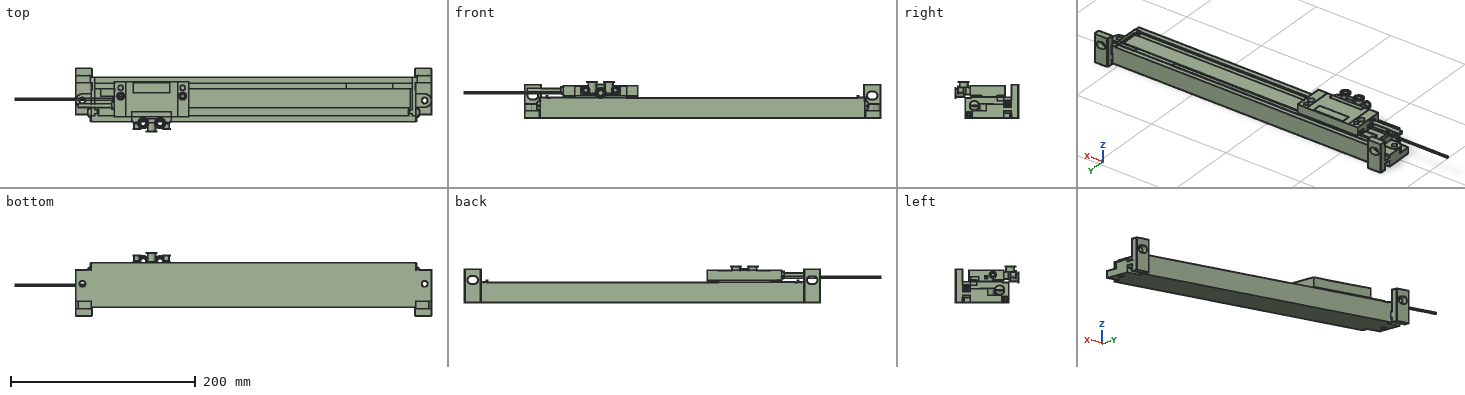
import cadquery as cq

RAIL_LENGTH = 385.0
CABLE_REACH = 65.0
RAIL_WIDTH = 48.4
RAIL_HEIGHT = 21.8
OVERALL_DEPTH = 68.65
MID_X = RAIL_LENGTH / 2

BRACKET_LENGTH = 18.0
BRACKET_FRONT_Y = 7.9
BRACKET_BACK_Y = 58.0
UPRIGHT_THICKNESS = 8.0
UPRIGHT_HEIGHT = 36.1
UPRIGHT_EDGE = 1.0
LEDGE_HEIGHT = 7.9
SHELF_HEIGHT = 12.0
BLOCK_HEIGHT = 14.8
BLOCK_BACK_Y = 42.0
PAD_HEIGHT = 0.5
HOLE_X = 7.4
HOLE_Y = 23.0
HOLE_DIAMETER = 6.2
BOSS_RADIUS = 7.2
SLOT_X = 9.0
SLOT_Z = 24.4
SLOT_LENGTH = 11.2
SLOT_HEIGHT = 8.4
NOTCH_RISE = 5.0
NOTCH_BEVEL = 2.9

CAP_START_X = 17.2
CAP_THICKNESS = 3.8
CAP_HEIGHT = 22.6
CAP_INNER_X = CAP_START_X + CAP_THICKNESS
CAP_RECESS_Y = (34.8, 42.0)
CAP_RECESS_BOTTOM = 18.9
CAP_RECESS_DEPTH = 0.6
PLUG_RADIUS = 5.2
PLUG_Y = 10.0
PLUG_Z = 13.4
PLUG_REACH = 4.2
PLUG_ROUND = 3.8
PLUG_SLOT = 0.8
SCREW_RADIUS = 3.2
SCREW_SOCKET_RADIUS = 1.6
SCREW_Y = 4.0
SCREW_Z = 3.8
SCREW_REACH = 1.2
RIBBED_REACH = 1.5
RIB_PITCH = 1.2
RIB_GAP = 0.6
RIB_COUNT = 6
NUB_X = 23.7
NUB_LENGTH = 1.4
NUB_HEIGHT = 24.0
NUB_Y = 8.5
NUB_WIDTH = 4.5

FRONT_GROOVE_Y = (6.6, 15.0)
FRONT_GROOVE_DEPTH = 2.0
FRONT_GROOVE_START = 24.7
BACK_GROOVE_Y = (36.0, 41.8)
BACK_GROOVE_DEPTH = 1.0
STRIP_THICKNESS = 0.15
STRIP_TOP = RAIL_HEIGHT + STRIP_THICKNESS
STRIP_END_GAP = 23.0
STRIP_END = RAIL_LENGTH - STRIP_END_GAP
BAR_X = (27.4, 54.0)
BAR_Y = (27.5, 36.0)
BAR_TOP = 22.6
INSERT_X = (293.0, 343.0)
INSERT_DROP = 0.4

CARRIAGE_LENGTH = 80.6
CARRIAGE_START = 42.0
CARRIAGE_MID_X = CARRIAGE_START + CARRIAGE_LENGTH / 2
CARRIAGE_FRONT_Y = 5.4
CARRIAGE_BACK_Y = 43.3
CARRIAGE_BOTTOM = 24.4
CARRIAGE_TOP = 35.1
END_CAP_LENGTH = 12.2
CENTRE_STEP = 0.15
FOOT_Y = (17.0, 35.5)
WIPER_Y = (18.0, 34.0)
WIPER_GAP = 0.3
CLAMP_POCKET_Y = (32.5, 41.5)
CLAMP_POCKET_HEIGHT = 3.4
CLAMP_POCKET_DEPTH = 4.0
LABEL_LENGTH = 39.3
LABEL_Y = (31.2, 42.0)
LABEL_DEPTH = 0.3
BOLT_OFFSET = 33.5
BOLT_Y = 27.8
BOLT_HEAD_DIAMETER = 8.0
BOLT_HEAD_DEPTH = 5.0
BOLT_DIAMETER = 4.5
THREAD_Y = 36.8
THREAD_DIAMETER = 5.5
THREAD_DEPTH = 6.0

MODULE_LENGTH = 42.6
MODULE_FRONT_Y = -1.2
MODULE_BACK_Y = 11.0
MODULE_BOTTOM = 25.5
MODULE_TOP = 33.2
MODULE_BEVEL = 2.0
MODULE_COVER_DROP = 0.3
KNOB_LENGTH = 8.5
KNOB_TOP = 36.6
KNOB_Y = (-1.2, 3.5)

FITTING_TOP = 39.3
FITTING_FRONT_Y = BRACKET_BACK_Y - OVERALL_DEPTH
TUBE_OFFSET = 9.1
TUBE_Y = -1.5
TUBE_BOTTOM = 27.0
TUBE_RADIUS = 4.4
TUBE_RIM_RADIUS = 5.7
TUBE_BORE_RADIUS = 3.0
RIM_THICKNESS = 0.6
CENTRE_PORT_Z = 27.2
SIDE_PORT_OFFSET = 16.0
SIDE_PORT_Z = 30.2
SIDE_PORT_FRONT_Y = -8.0
SIDE_PORT_RADIUS = 3.2
SIDE_PORT_RIM_RADIUS = 4.1
SIDE_PORT_BORE_RADIUS = 2.4
BORE_DEPTH = 6.0

CABLE_DIAMETER = 2.0
CABLE_Y = 24.4
CABLE_Z = 27.3
CABLE_NECK_LENGTH = 1.5
CABLE_NECK_SIZE = 3.0
SLEEVE_DIAMETER = 4.0
SLEEVE_START = 2.8
SLEEVE_Y = 17.4
SLEEVE_Z = 30.1
GLAND_RADIUS = 3.6
GLAND_LENGTH = 2.6


def block(x_range, y_range, z_range):
    """Box between pairs of X, Y and Z limits."""
    size = [high - low for low, high in (x_range, y_range, z_range)]
    corner = (x_range[0], y_range[0], z_range[0])
    return cq.Workplane("XY").box(*size, centered=False).translate(corner)


def rod(start, direction, length, radius):
    """Cylinder from a start point along a direction."""
    solid = cq.Solid.makeCylinder(radius, length, cq.Vector(*start), cq.Vector(*direction))
    return cq.Workplane(obj=solid)


def hose_fitting(end, inward, length, radius, rim_radius):
    """Round stub with a wider rim at its open end."""
    stub = rod(end, inward, length, radius)
    rim = rod(end, inward, RIM_THICKNESS, rim_radius)
    return stub.union(rim)


def mounting_bracket():
    inner = BRACKET_LENGTH
    upright_y = BRACKET_BACK_Y - UPRIGHT_THICKNESS
    upright = block((0, inner), (upright_y, BRACKET_BACK_Y), (0, UPRIGHT_HEIGHT))
    upright = upright.edges(">Y and |Z").chamfer(UPRIGHT_EDGE)
    slot = (
        cq.Workplane("XZ", origin=(SLOT_X, BRACKET_BACK_Y, SLOT_Z))
        .slot2D(SLOT_LENGTH, SLOT_HEIGHT)
        .extrude(UPRIGHT_THICKNESS)
    )

    ledge = block((0, inner), (BRACKET_FRONT_Y, BLOCK_BACK_Y), (0, LEDGE_HEIGHT))
    shelf = block((0, inner), (BLOCK_BACK_Y, upright_y), (0, SHELF_HEIGHT))
    high_block = block((0, inner), (HOLE_Y, BLOCK_BACK_Y), (0, BLOCK_HEIGHT))

    pad_top = BLOCK_HEIGHT + PAD_HEIGHT
    boss = rod((HOLE_X, HOLE_Y, 0), (0, 0, 1), pad_top, BOSS_RADIUS)
    boss_y = (HOLE_Y - BOSS_RADIUS, HOLE_Y + BOSS_RADIUS)
    boss = boss.union(block((HOLE_X, inner), boss_y, (0, pad_top)))
    hole = rod((HOLE_X, HOLE_Y, 0), (0, 0, 1), pad_top, HOLE_DIAMETER / 2)

    notch = (
        cq.Workplane("XZ", origin=(0, upright_y, 0))
        .moveTo(0, 0)
        .lineTo(0, NOTCH_RISE + NOTCH_BEVEL)
        .lineTo(NOTCH_BEVEL, NOTCH_RISE)
        .lineTo(inner, NOTCH_RISE)
        .lineTo(inner, 0)
        .close()
        .extrude(upright_y - BLOCK_BACK_Y)
    )
    bracket = ledge.union(shelf).union(high_block).union(boss).union(upright)
    return bracket.cut(slot).cut(hole).cut(notch)


def end_cap():
    cap = block((CAP_START_X, CAP_INNER_X), (0, RAIL_WIDTH), (0, CAP_HEIGHT))
    lip_drop = block((CAP_START_X, CAP_INNER_X), (0, FRONT_GROOVE_Y[0]), (RAIL_HEIGHT, CAP_HEIGHT))
    cap = cap.cut(lip_drop)
    recess_x = (CAP_START_X, CAP_START_X + CAP_RECESS_DEPTH)
    cap = cap.cut(block(recess_x, CAP_RECESS_Y, (CAP_RECESS_BOTTOM, CAP_HEIGHT)))

    plug = rod((CAP_START_X - PLUG_REACH, PLUG_Y, PLUG_Z), (1, 0, 0), PLUG_REACH, PLUG_RADIUS)
    plug = plug.faces("<X").edges().fillet(PLUG_ROUND)
    slot_x = (CAP_START_X - PLUG_REACH, CAP_START_X - PLUG_REACH / 2)
    slot_y = (PLUG_Y - PLUG_RADIUS, PLUG_Y + PLUG_RADIUS)
    slot_z = (PLUG_Z - PLUG_SLOT / 2, PLUG_Z + PLUG_SLOT / 2)
    plug = plug.cut(block(slot_x, slot_y, slot_z))

    screw_x = CAP_START_X - SCREW_REACH
    screw = rod((screw_x, SCREW_Y, SCREW_Z), (1, 0, 0), SCREW_REACH, SCREW_RADIUS)
    socket = rod((screw_x, SCREW_Y, SCREW_Z), (1, 0, 0), SCREW_REACH, SCREW_SOCKET_RADIUS)
    screw = screw.cut(socket)

    stop_x = (CAP_START_X - RIBBED_REACH, CAP_START_X)
    stop_y = (BLOCK_BACK_Y, BRACKET_BACK_Y - UPRIGHT_THICKNESS)
    stop = block(stop_x, stop_y, (SHELF_HEIGHT, CAP_HEIGHT))
    for rib in range(RIB_COUNT):
        gap_z = SHELF_HEIGHT + RIB_GAP + rib * RIB_PITCH
        gap_x = (stop_x[0], CAP_START_X - RIBBED_REACH / 2)
        stop = stop.cut(block(gap_x, stop_y, (gap_z, gap_z + RIB_GAP)))

    nub_base = CAP_HEIGHT - FRONT_GROOVE_DEPTH
    nub_foot = block((CAP_START_X, NUB_X + NUB_LENGTH), (NUB_Y, NUB_Y + NUB_WIDTH), (nub_base, CAP_HEIGHT))
    lug = block((NUB_X, NUB_X + NUB_LENGTH), (NUB_Y, NUB_Y + NUB_WIDTH), (nub_base, NUB_HEIGHT))
    return cap.union(plug).union(screw).union(stop).union(nub_foot).union(lug)


def rail_profile():
    rail_x = (CAP_INNER_X, RAIL_LENGTH - CAP_INNER_X)
    rail = block(rail_x, (0, RAIL_WIDTH), (0, RAIL_HEIGHT))

    groove_x = (FRONT_GROOVE_START, RAIL_LENGTH - FRONT_GROOVE_START)
    rail = rail.cut(block(groove_x, FRONT_GROOVE_Y, (RAIL_HEIGHT - FRONT_GROOVE_DEPTH, RAIL_HEIGHT)))
    rail = rail.cut(block(rail_x, BACK_GROOVE_Y, (RAIL_HEIGHT - BACK_GROOVE_DEPTH, RAIL_HEIGHT)))

    insert_z = (RAIL_HEIGHT - BACK_GROOVE_DEPTH, RAIL_HEIGHT - INSERT_DROP)
    rail = rail.union(block(INSERT_X, BACK_GROOVE_Y, insert_z))

    strip_x = (CAP_INNER_X, STRIP_END)
    strip_y = (FRONT_GROOVE_Y[1], BACK_GROOVE_Y[0])
    rail = rail.union(block(strip_x, strip_y, (RAIL_HEIGHT, STRIP_TOP)))
    return rail.union(block(BAR_X, BAR_Y, (RAIL_HEIGHT, BAR_TOP)))


def build_rail():
    left_end = mounting_bracket().union(end_cap())
    right_end = left_end.mirror("YZ", (MID_X, 0, 0))
    return rail_profile().union(left_end).union(right_end)


def carriage_block():
    carriage_x = (CARRIAGE_START, CARRIAGE_START + CARRIAGE_LENGTH)
    centre_x = (carriage_x[0] + END_CAP_LENGTH, carriage_x[1] - END_CAP_LENGTH)
    depth_y = (CARRIAGE_FRONT_Y, CARRIAGE_BACK_Y)
    body = block(carriage_x, depth_y, (CARRIAGE_BOTTOM, CARRIAGE_TOP))

    full_z = (CARRIAGE_BOTTOM, CARRIAGE_TOP)
    body = body.cut(block(centre_x, depth_y, (CARRIAGE_TOP - CENTRE_STEP, CARRIAGE_TOP)))
    body = body.cut(block(centre_x, (CARRIAGE_FRONT_Y, CARRIAGE_FRONT_Y + CENTRE_STEP), full_z))

    label_x = (CARRIAGE_MID_X - LABEL_LENGTH / 2, CARRIAGE_MID_X + LABEL_LENGTH / 2)
    body = body.cut(block(label_x, LABEL_Y, (CARRIAGE_TOP - LABEL_DEPTH, CARRIAGE_TOP)))

    pocket_x = (CARRIAGE_START, CARRIAGE_START + CLAMP_POCKET_DEPTH)
    pocket_z = (CARRIAGE_BOTTOM, CARRIAGE_BOTTOM + CLAMP_POCKET_HEIGHT)
    body = body.cut(block(pocket_x, CLAMP_POCKET_Y, pocket_z))

    foot = block(centre_x, FOOT_Y, (STRIP_TOP, CARRIAGE_BOTTOM))
    wipers = block(carriage_x, WIPER_Y, (BAR_TOP + WIPER_GAP, CARRIAGE_BOTTOM))
    return body.union(foot).union(wipers)


def cut_bolt_holes(body):
    down = (0, 0, -1)
    through = CARRIAGE_TOP - STRIP_TOP
    for side in (-1, 1):
        x = CARRIAGE_MID_X + side * BOLT_OFFSET
        body = body.cut(rod((x, BOLT_Y, CARRIAGE_TOP), down, through, BOLT_DIAMETER / 2))
        body = body.cut(rod((x, BOLT_Y, CARRIAGE_TOP), down, BOLT_HEAD_DEPTH, BOLT_HEAD_DIAMETER / 2))
        body = body.cut(rod((x, THREAD_Y, CARRIAGE_TOP), down, THREAD_DEPTH, THREAD_DIAMETER / 2))
    return body


def add_connector_module(body):
    module_x = (CARRIAGE_MID_X - MODULE_LENGTH / 2, CARRIAGE_MID_X + MODULE_LENGTH / 2)
    cover_z = CARRIAGE_TOP - MODULE_COVER_DROP
    body = body.cut(block(module_x, (CARRIAGE_FRONT_Y, MODULE_BACK_Y), (cover_z, CARRIAGE_TOP)))

    module = block(module_x, (MODULE_FRONT_Y, MODULE_BACK_Y), (MODULE_BOTTOM, MODULE_TOP))
    module = module.edges("<Y and |Z").chamfer(MODULE_BEVEL)
    knob_x = (CARRIAGE_MID_X - KNOB_LENGTH / 2, CARRIAGE_MID_X + KNOB_LENGTH / 2)
    knob = block(knob_x, KNOB_Y, (MODULE_BOTTOM, KNOB_TOP))
    return body.union(module).union(knob)


def add_fittings(body):
    back = (0, 1, 0)
    down = (0, 0, -1)

    centre_end = (CARRIAGE_MID_X, FITTING_FRONT_Y, CENTRE_PORT_Z)
    centre_length = MODULE_FRONT_Y - FITTING_FRONT_Y + RIM_THICKNESS
    body = body.union(hose_fitting(centre_end, back, centre_length, TUBE_RADIUS, TUBE_RIM_RADIUS))

    for side in (-1, 1):
        tube_end = (CARRIAGE_MID_X + side * TUBE_OFFSET, TUBE_Y, FITTING_TOP)
        tube_length = FITTING_TOP - TUBE_BOTTOM
        body = body.union(hose_fitting(tube_end, down, tube_length, TUBE_RADIUS, TUBE_RIM_RADIUS))
        body = body.cut(rod(tube_end, down, FITTING_TOP - STRIP_TOP, TUBE_BORE_RADIUS))

        port_end = (CARRIAGE_MID_X + side * SIDE_PORT_OFFSET, SIDE_PORT_FRONT_Y, SIDE_PORT_Z)
        port_length = MODULE_FRONT_Y - SIDE_PORT_FRONT_Y + RIM_THICKNESS
        body = body.union(hose_fitting(port_end, back, port_length, SIDE_PORT_RADIUS, SIDE_PORT_RIM_RADIUS))
        body = body.cut(rod(port_end, back, BORE_DEPTH, SIDE_PORT_BORE_RADIUS))

    return body.cut(rod(centre_end, back, BORE_DEPTH, TUBE_BORE_RADIUS))


def add_cable(body):
    cable_start = (-CABLE_REACH, CABLE_Y, CABLE_Z)
    cable = rod(cable_start, (1, 0, 0), CABLE_REACH + CARRIAGE_START, CABLE_DIAMETER / 2)
    neck_x = (CARRIAGE_START - CABLE_NECK_LENGTH, CARRIAGE_START)
    neck_y = (CABLE_Y - CABLE_NECK_SIZE / 2, CABLE_Y + CABLE_NECK_SIZE / 2)
    neck_z = (CABLE_Z - CABLE_NECK_SIZE / 2, CABLE_Z + CABLE_NECK_SIZE / 2)
    neck = block(neck_x, neck_y, neck_z)

    sleeve_start = (SLEEVE_START, SLEEVE_Y, SLEEVE_Z)
    sleeve = rod(sleeve_start, (1, 0, 0), CARRIAGE_START - SLEEVE_START, SLEEVE_DIAMETER / 2)
    gland_start = (CARRIAGE_START - GLAND_LENGTH, SLEEVE_Y, SLEEVE_Z)
    gland = rod(gland_start, (1, 0, 0), GLAND_LENGTH, GLAND_RADIUS)
    return body.union(cable).union(neck).union(sleeve).union(gland)


def build_carriage():
    body = cut_bolt_holes(carriage_block())
    body = add_connector_module(body)
    body = add_fittings(body)
    return add_cable(body)


rail = build_rail()
carriage = build_carriage()
result = cq.Compound.makeCompound([rail.solids().val(), carriage.solids().val()])